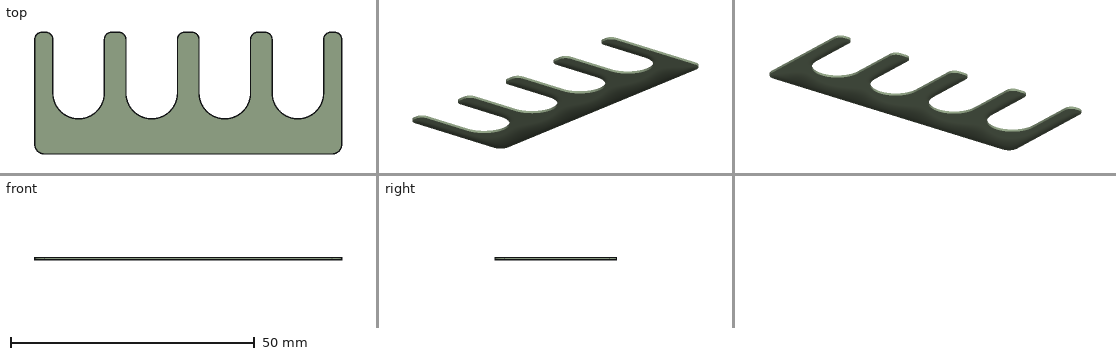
import cadquery as cq

length = 63.0
depth = 25.0
thickness = 0.5
base_corner_radius = 2.0

slot_count = 4
slot_pitch = 15.0
slot_width = 10.5
slot_floor = 7.25
tip_radius = 1.5

slot_radius = slot_width / 2
slot_center_y = slot_floor + slot_radius
first_slot_x = -slot_pitch * (slot_count - 1) / 2


def rounded_slot(center_x):
    """Cutter for a slot with a semicircular floor, open at the +Y edge."""
    left = center_x - slot_radius
    right = center_x + slot_radius
    return (
        cq.Workplane("XY")
        .moveTo(left, depth)
        .lineTo(left, slot_center_y)
        .threePointArc((center_x, slot_floor), (right, slot_center_y))
        .lineTo(right, depth)
        .close()
        .extrude(thickness)
    )


plate = cq.Workplane("XY").box(length, depth, thickness, centered=(True, False, False))
for index in range(slot_count):
    plate = plate.cut(rounded_slot(first_slot_x + index * slot_pitch))

plate = plate.faces("<Y").edges("|Z").fillet(base_corner_radius)
result = plate.faces(">Y").edges("|Z").fillet(tip_radius)